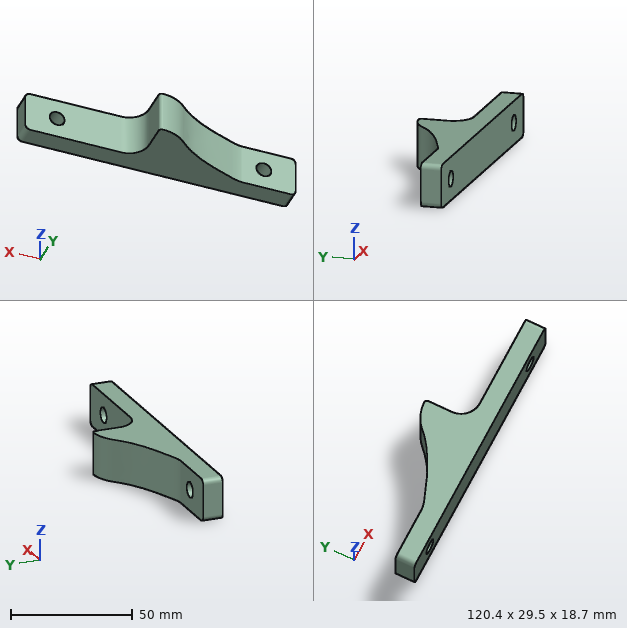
import cadquery as cq

length = 120.4
height = 18.7
base_thickness = 8.8
end_corner_radius = 2.3

hole_diameter = 6.6
hole_spacing = 92.0

fin_top = 29.5
fin_wall_x = 8.7
fin_root_radius = 8.7
fin_tip_radius = 1.3

ramp_foot = (-36.1, base_thickness)
foot_blend_middle = (-33.8, 9.1)
sweep_start = (-31.5, 9.9)
sweep_lower = (-18.7, 14.9)
sweep_upper = (-11.2, 18.9)
crest_start = (-3.5, 25.0)
crest_middle = (1.2, 28.2)
crest_end = (fin_wall_x - fin_tip_radius, fin_top)


def make_profile():
    """Bar and fin as one outline, extruded through the full height."""
    half_length = length / 2
    return (
        cq.Workplane("XY")
        .workplane(offset=-height / 2)
        .moveTo(-half_length, 0)
        .lineTo(-half_length, base_thickness)
        .lineTo(*ramp_foot)
        .threePointArc(foot_blend_middle, sweep_start)
        .spline([sweep_lower, sweep_upper, crest_start], includeCurrent=True)
        .threePointArc(crest_middle, crest_end)
        .radiusArc((fin_wall_x, fin_top - fin_tip_radius), fin_tip_radius)
        .lineTo(fin_wall_x, base_thickness + fin_root_radius)
        .radiusArc((fin_wall_x + fin_root_radius, base_thickness), -fin_root_radius)
        .lineTo(half_length, base_thickness)
        .lineTo(half_length, 0)
        .close()
        .extrude(height)
    )


def round_end_corners(body):
    """Round the four end corners of the bar, on the edges along Y."""
    return body.faces("<X or >X").edges("|Y").fillet(end_corner_radius)


def drill_mounting_holes(body):
    """Two through holes along Y, symmetric about the middle of the bar."""
    drills = (
        cq.Workplane("XZ")
        .pushPoints([(-hole_spacing / 2, 0), (hole_spacing / 2, 0)])
        .circle(hole_diameter / 2)
        .extrude(-base_thickness)
    )
    return body.cut(drills)


result = drill_mounting_holes(round_end_corners(make_profile()))